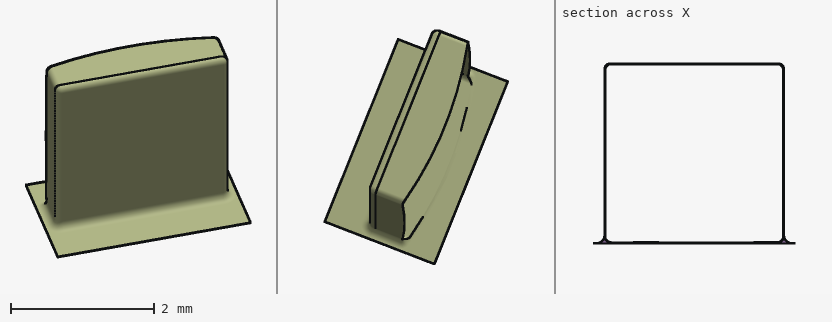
import cadquery as cq

plate_x = 1.65
plate_y = 2.8
plate_thickness = 0.01

hood_height = 2.52
hood_half_width = 1.255
hood_back = 0.23
wall = 0.01
edge_radius = 0.085
inner_radius = edge_radius - wall
cavity_back = 0.123

rim_corner = -0.283
roof_bulge = 0.148
side_bulge = 0.035
front_corner_radius = 0.005

floor_top = plate_thickness + wall

foot_radius = 0.112


def plan_prism():
    """Prism whose front follows the bowed front edge of the roof."""
    return (
        cq.Workplane("XY")
        .moveTo(hood_back, -hood_half_width)
        .lineTo(rim_corner, -hood_half_width)
        .threePointArc((rim_corner - roof_bulge, 0), (rim_corner, hood_half_width))
        .lineTo(hood_back, hood_half_width)
        .close()
        .extrude(hood_height)
        .edges("|Z and (not >X)")
        .fillet(front_corner_radius)
    )


def side_prism():
    """Prism whose front follows the bowed edges of the two side walls."""
    return (
        cq.Workplane("XZ")
        .moveTo(hood_back, 0)
        .lineTo(rim_corner, 0)
        .threePointArc((rim_corner - side_bulge, hood_height / 2), (rim_corner, hood_height))
        .lineTo(hood_back, hood_height)
        .close()
        .extrude(hood_half_width, both=True)
    )


def make_cavity():
    """Rounded opening running from the front to the thick back panel."""
    reach = plate_x / 2
    return (
        cq.Workplane("XY")
        .box(
            cavity_back + reach,
            2 * (hood_half_width - wall),
            hood_height - wall - floor_top,
            centered=(False, True, False),
        )
        .translate((-reach, 0, floor_top))
        .edges("|X")
        .fillet(inner_radius)
    )


def make_rounded_block():
    """Solid block with the rounded back and top of the hood, long enough for any rim."""
    front = -plate_x / 2
    block = (
        cq.Workplane("XY")
        .box(hood_back - front, 2 * hood_half_width, hood_height, centered=(False, True, False))
        .translate((front, 0, 0))
    )
    block = block.edges(">X and |Z").fillet(edge_radius)
    return block.faces(">Z").edges("not <X").fillet(edge_radius)


def fillet_foot(body):
    """Fillet the whole outline where the hood meets the top of the plate."""
    margin = 0.028
    tolerance = 0.0003
    half_x = plate_x / 2 - margin
    half_y = plate_y / 2 - margin
    outline = cq.selectors.BoxSelector(
        (-half_x, -half_y, plate_thickness - tolerance),
        (half_x, half_y, plate_thickness + tolerance),
    )
    return body.edges(outline).fillet(foot_radius)


plate = cq.Workplane("XY").box(plate_x, plate_y, plate_thickness, centered=(True, True, False))
block = make_rounded_block()
body = fillet_foot(plate.union(block.intersect(plan_prism())))

body = body.union(block.intersect(side_prism()))
result = body.cut(make_cavity())